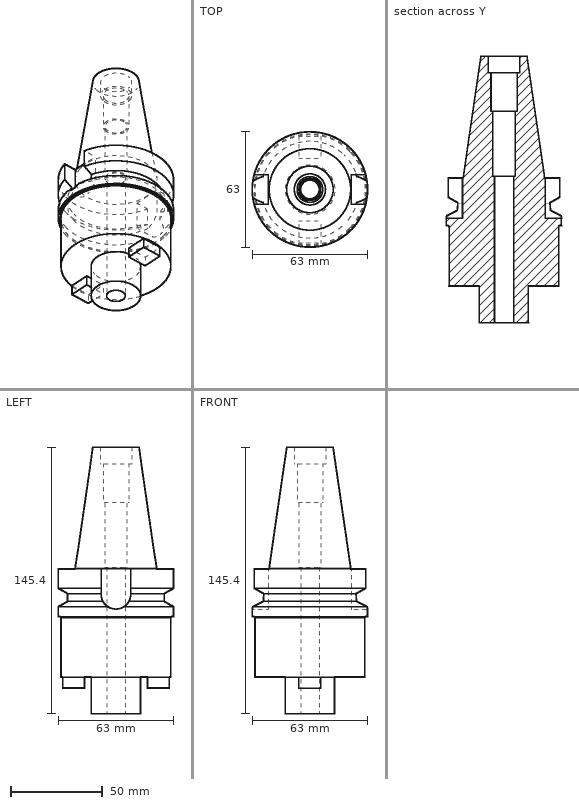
import cadquery as cq
import math


GAUGE_DIAMETER = 44.45
TAPER_LENGTH = 65.4
TAPER_RATIO = 7 / 24
SMALL_END_DIAMETER = GAUGE_DIAMETER - TAPER_RATIO * TAPER_LENGTH

FLANGE_DIAMETER = 63.0
FLANGE_TOP_Z = -1.0
FLANGE_BOTTOM_Z = -27.0
GROOVE_CENTRE_Z = -16.6
GROOVE_FLOOR_DIAMETER = 53.0
GROOVE_MOUTH_WIDTH = 10.0
GROOVE_WALL_ANGLE = 30.0

SLOT_WIDTH = 16.1
SLOT_FLOOR_DISTANCE = 22.6
SLOT_BOTTOM_Z = -22.9

BODY_DIAMETER = 60.0
BODY_BOTTOM_Z = -60.0
BODY_ROOT_CHAMFER = 0.5
SPIGOT_DIAMETER = 27.0
SPIGOT_LENGTH = 20.0
SPIGOT_BOTTOM_Z = BODY_BOTTOM_Z - SPIGOT_LENGTH

KEY_WIDTH = 12.0
KEY_RADIAL_LENGTH = 12.0
KEY_HEIGHT = 6.0
KEY_INNER_DISTANCE = 17.1

THROUGH_DIAMETER = 10.2
BORE_STEPS = [(17.0, 9.0), (14.0, 30.0), (12.0, TAPER_LENGTH)]


def make_turned_body():
    """Revolve the outer half-profile of taper, flange, body and spigot."""
    gauge_radius = GAUGE_DIAMETER / 2
    flange_radius = FLANGE_DIAMETER / 2
    groove_radius = GROOVE_FLOOR_DIAMETER / 2
    body_radius = BODY_DIAMETER / 2
    spigot_radius = SPIGOT_DIAMETER / 2
    half_mouth = GROOVE_MOUTH_WIDTH / 2
    wall_slope = math.tan(math.radians(GROOVE_WALL_ANGLE))
    half_floor = half_mouth - (flange_radius - groove_radius) * wall_slope
    profile = [
        (0, TAPER_LENGTH),
        (SMALL_END_DIAMETER / 2, TAPER_LENGTH),
        (gauge_radius, 0),
        (gauge_radius, FLANGE_TOP_Z),
        (flange_radius, FLANGE_TOP_Z),
        (flange_radius, GROOVE_CENTRE_Z + half_mouth),
        (groove_radius, GROOVE_CENTRE_Z + half_floor),
        (groove_radius, GROOVE_CENTRE_Z - half_floor),
        (flange_radius, GROOVE_CENTRE_Z - half_mouth),
        (flange_radius, FLANGE_BOTTOM_Z),
        (body_radius + BODY_ROOT_CHAMFER, FLANGE_BOTTOM_Z),
        (body_radius, FLANGE_BOTTOM_Z - BODY_ROOT_CHAMFER),
        (body_radius, BODY_BOTTOM_Z),
        (spigot_radius, BODY_BOTTOM_Z),
        (spigot_radius, SPIGOT_BOTTOM_Z),
        (0, SPIGOT_BOTTOM_Z),
    ]
    return cq.Workplane("XZ").polyline(profile).close().revolve(360, (0, 0, 0), (0, 1, 0))


def make_drive_slot(side):
    """Round-bottomed cutter for one drive slot; side is +1 (+X) or -1 (-X)."""
    radius = SLOT_WIDTH / 2
    arc_centre_z = SLOT_BOTTOM_Z + radius
    return (
        cq.Workplane("YZ", origin=(side * SLOT_FLOOR_DISTANCE, 0, 0))
        .moveTo(-radius, FLANGE_TOP_Z)
        .lineTo(-radius, arc_centre_z)
        .threePointArc((0, SLOT_BOTTOM_Z), (radius, arc_centre_z))
        .lineTo(radius, FLANGE_TOP_Z)
        .close()
        .extrude(side * FLANGE_DIAMETER / 2)
    )


def make_drive_key(side):
    """Rectangular key under the body; side is +1 (+Y) or -1 (-Y)."""
    centre_y = side * (KEY_INNER_DISTANCE + KEY_RADIAL_LENGTH / 2)
    return (
        cq.Workplane("XY", origin=(0, centre_y, BODY_BOTTOM_Z))
        .rect(KEY_WIDTH, KEY_RADIAL_LENGTH)
        .extrude(-KEY_HEIGHT)
    )


def make_bore(diameter, depth):
    """Flat-bottomed cylinder going down from the small end of the taper."""
    return cq.Workplane("XY", origin=(0, 0, TAPER_LENGTH)).circle(diameter / 2).extrude(-depth)


result = make_turned_body()

for side in (1, -1):
    result = result.cut(make_drive_slot(side))
    result = result.union(make_drive_key(side))

for step_diameter, step_depth in BORE_STEPS:
    result = result.cut(make_bore(step_diameter, step_depth))
result = result.cut(make_bore(THROUGH_DIAMETER, TAPER_LENGTH - SPIGOT_BOTTOM_Z))